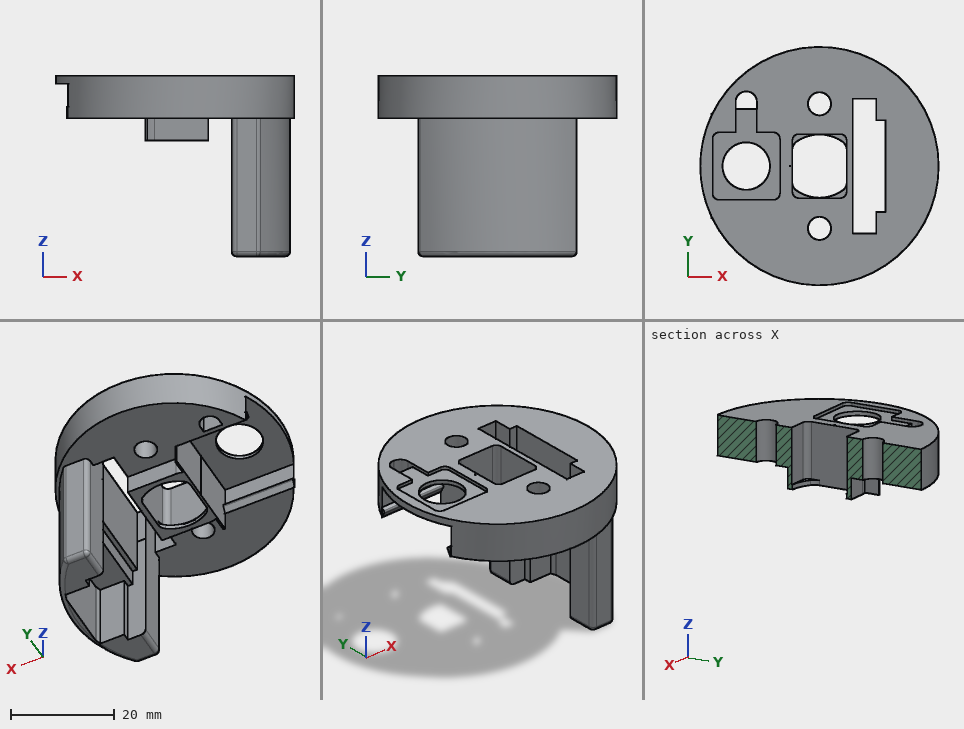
import cadquery as cq
import math


disc_radius = 23.0
disc_height = 8.25

notch_half_width = 10.07
notch_roof = 1.55
ridge_start_x = -20.9
ridge_reach = 0.95
ridge_top = 6.0
ridge_tip_depth = 6.55
ridge_tip_fillet = 0.35

block_bottom = 12.5
plate_x = -5.75
plate_thickness = 0.35
block_right_x = 6.45
block_half_width = 7.18
block_corner_radius = 4.0
block_curve_start_x = -4.05
block_floor_thickness = 1.0

window_size = (10.45, 12.35)
window_corner_radius = 1.2
barrel_half_length = 6.05
barrel_arc_radius = 7.8
barrel_corner_radius = 1.85

recess_depth = 0.7
recess_x = -14.1
recess_size = 13.0
recess_corner_radius = 1.3
sensor_hole_diameter = 9.1
channel_width = 4.05
channel_end_y = 14.35
channel_end_fillet = 1.95
wire_hole_start_y = 11.05

round_hole_diameter = 4.4
round_hole_y = 12.0

slot_half_length = 12.95
slot_right_x = 10.9
slot_step_x = 12.7
slot_step_half_length = 8.9

leg_bottom = 34.85
leg_half_width = 15.3
leg_outer_radius = 22.2
leg_fillet = 1.0
leg_channel_half_width = 8.85
leg_recess_x = 13.7
leg_recess_top = 16.1
cavity_top = 19.75
cavity_shoulder_x = 14.7
cavity_half_width = 7.25
cavity_arc_radius = leg_outer_radius - leg_fillet
cavity_arc_end_y = 6.3
cavity_back_half_width = 6.03

strip_width = 0.15
strip_depth = 0.07


def box(x_range, y_range, z_range):
    """Box spanning the given (low, high) ranges."""
    (x0, x1), (y0, y1), (z0, z1) = x_range, y_range, z_range
    return cq.Workplane("XY").box(x1 - x0, y1 - y0, z1 - z0, centered=False).translate((x0, y0, z0))


def both_ways(half):
    """Range symmetric about zero."""
    return (-half, half)


def circle_x(radius, y):
    """X of the point at height y on a circle about the origin."""
    return math.sqrt(radius**2 - y**2)


def make_disc():
    """Disc with the notch cut into its underside, up to the plate."""
    disc = cq.Workplane("XY").circle(disc_radius).extrude(-disc_height)
    notch = box((-disc_radius, plate_x), both_ways(notch_half_width), (-disc_height, -notch_roof))
    return disc.cut(notch)


def make_ridges():
    """Snap ridges along both notch walls, with flat ends near the disc rim."""
    tip_y = notch_half_width - ridge_reach
    tip_middle = ((ridge_start_x + plate_x) / 2, tip_y, -ridge_tip_depth)
    ridge = (
        cq.Workplane("YZ", origin=(ridge_start_x, 0, 0))
        .moveTo(notch_half_width, -ridge_top)
        .lineTo(tip_y, -ridge_tip_depth)
        .lineTo(notch_half_width, -disc_height)
        .close()
        .extrude(plate_x - ridge_start_x)
        .edges(cq.selectors.NearestToPointSelector(tip_middle))
        .fillet(ridge_tip_fillet)
    )
    return ridge.union(ridge.mirror("XZ"))


def make_block():
    """Block with large rounded corners, cut off by the wider plate."""
    z_range = (-block_bottom, -notch_roof)
    rounded_end_x = block_curve_start_x - block_corner_radius
    block = (
        box((rounded_end_x, block_right_x), both_ways(block_half_width), z_range)
        .edges("|Z and <X")
        .fillet(block_corner_radius)
    )
    kept = box((plate_x, block_right_x), both_ways(block_half_width), z_range)
    plate = box((plate_x, plate_x + plate_thickness), both_ways(notch_half_width), z_range)
    return block.intersect(kept).union(plate)


def make_window():
    """Rounded rectangular shaft that ends in a barrel-shaped opening."""
    shaft_depth = block_bottom - block_floor_thickness
    shaft = (
        cq.Workplane("XY")
        .rect(*window_size)
        .extrude(-shaft_depth)
        .edges("|Z")
        .fillet(window_corner_radius)
    )
    half_width = window_size[0] / 2
    corner_y = barrel_half_length - barrel_arc_radius + circle_x(barrel_arc_radius, half_width)
    barrel = (
        cq.Workplane("XY")
        .moveTo(-half_width, -corner_y)
        .threePointArc((0, -barrel_half_length), (half_width, -corner_y))
        .lineTo(half_width, corner_y)
        .threePointArc((0, barrel_half_length), (-half_width, corner_y))
        .close()
        .extrude(-block_bottom)
        .edges("|Z")
        .fillet(barrel_corner_radius)
    )
    return shaft.union(barrel)


def make_keyhole():
    """Shallow square recess with a wire channel, plus the through holes inside it."""
    square = (
        cq.Workplane("XY")
        .center(recess_x, 0)
        .rect(recess_size, recess_size)
        .extrude(-recess_depth)
        .edges("|Z")
        .fillet(recess_corner_radius)
    )
    channel_x = (recess_x - channel_width / 2, recess_x + channel_width / 2)
    channel = box(channel_x, (0, wire_hole_start_y), (-recess_depth, 0))
    wire_hole = box(channel_x, (wire_hole_start_y, channel_end_y), (-disc_height, 0))
    wire_hole = wire_hole.edges("|Z and >Y").fillet(channel_end_fillet)
    sensor_hole = (
        cq.Workplane("XY").center(recess_x, 0).circle(sensor_hole_diameter / 2).extrude(-disc_height)
    )
    return square.union(channel).union(wire_hole).union(sensor_hole)


def make_round_holes():
    return (
        cq.Workplane("XY")
        .pushPoints([(0, round_hole_y), (0, -round_hole_y)])
        .circle(round_hole_diameter / 2)
        .extrude(-disc_height)
    )


def make_slot():
    """Stepped slot through the disc; its wide part runs along the leg's -X face."""
    z_range = (-disc_height, 0)
    wide = box((block_right_x, slot_right_x), both_ways(slot_half_length), z_range)
    step = box((block_right_x, slot_step_x), both_ways(slot_step_half_length), z_range)
    return wide.union(step)


def make_leg():
    """Leg with a round back, rounded edges and an open hollow in its -X side."""
    corner_x = circle_x(leg_outer_radius, leg_half_width)
    leg = (
        cq.Workplane("XY", origin=(0, 0, -disc_height))
        .moveTo(slot_right_x, -leg_half_width)
        .lineTo(corner_x, -leg_half_width)
        .threePointArc((leg_outer_radius, 0), (corner_x, leg_half_width))
        .lineTo(slot_right_x, leg_half_width)
        .close()
        .extrude(disc_height - leg_bottom)
        .edges("|Z")
        .fillet(leg_fillet)
        .faces("<Z")
        .edges()
        .fillet(leg_fillet)
    )
    steps = ((slot_step_x, disc_height), (leg_recess_x, leg_recess_top), (cavity_shoulder_x, cavity_top))
    for back_x, top in steps:
        leg = leg.cut(box((slot_right_x, back_x), both_ways(leg_channel_half_width), (-leg_bottom, -top)))
    return leg.cut(make_cavity())


def make_cavity():
    """Hollow behind the recess: straight sides, a curved back and a flat middle."""
    side_x = circle_x(cavity_arc_radius, cavity_half_width)
    arc_end_x = circle_x(cavity_arc_radius, cavity_arc_end_y)
    back_x = circle_x(cavity_arc_radius, cavity_back_half_width)
    middle_y = (cavity_half_width + cavity_arc_end_y) / 2
    middle_x = circle_x(cavity_arc_radius, middle_y)
    return (
        cq.Workplane("XY", origin=(0, 0, -leg_bottom))
        .moveTo(slot_right_x, -cavity_half_width)
        .lineTo(side_x, -cavity_half_width)
        .threePointArc((middle_x, -middle_y), (arc_end_x, -cavity_arc_end_y))
        .lineTo(back_x, -cavity_back_half_width)
        .lineTo(back_x, cavity_back_half_width)
        .lineTo(arc_end_x, cavity_arc_end_y)
        .threePointArc((middle_x, middle_y), (side_x, cavity_half_width))
        .lineTo(slot_right_x, cavity_half_width)
        .close()
        .extrude(leg_bottom - cavity_top)
    )


def make_strip():
    """Thin upright strip, flush with the plate face and the disc's top face."""
    return box((plate_x, plate_x + strip_depth), both_ways(strip_width / 2), (-block_bottom, 0))


def make_housing(strip):
    """Disc, block and leg in one piece, with a groove that fits the strip."""
    housing = make_disc().union(make_ridges()).union(make_block()).union(make_leg())
    for cutter in (make_window(), make_keyhole(), make_round_holes(), make_slot(), strip):
        housing = housing.cut(cutter)
    return housing


strip = make_strip()
housing = make_housing(strip)

result = cq.Compound.makeCompound([housing.val(), strip.val()])